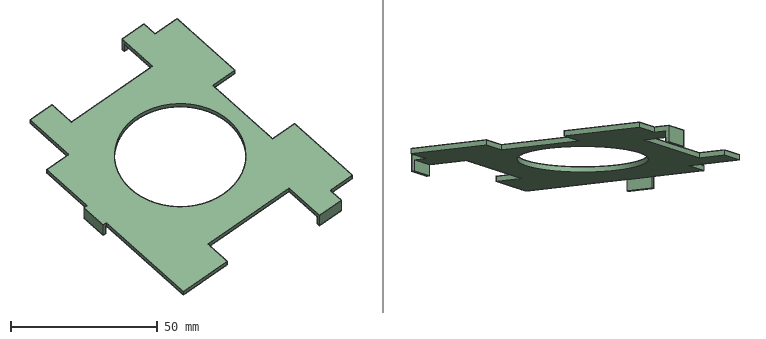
import cadquery as cq

length = 102.5
height = 5.7
plate_thickness = 1.8
leg_thickness = 1.2

half_length = length / 2
body_half_x = 45.5
body_half_y = 38.5
step = 10.0
waist_half_x = body_half_x - step
arm_outer_y = body_half_y - step
arm_inner_y = arm_outer_y - step
top_notch_half_x = 15.5
corner_notch_x = -waist_half_x + step
opening_diameter = 45.0

tab_center_x = 0.5
tab_overhang = 1.4


def plate():
    """Flat plate with its top at Z = 0, stepped outline and round opening."""
    outline = [
        (corner_notch_x, -body_half_y),
        (body_half_x, -body_half_y),
        (body_half_x, -arm_inner_y),
        (waist_half_x, -arm_inner_y),
        (waist_half_x, arm_inner_y),
        (half_length, arm_inner_y),
        (half_length, arm_outer_y),
        (body_half_x, arm_outer_y),
        (body_half_x, body_half_y),
        (top_notch_half_x, body_half_y),
        (top_notch_half_x, arm_outer_y),
        (-top_notch_half_x, arm_outer_y),
        (-top_notch_half_x, body_half_y),
        (-body_half_x, body_half_y),
        (-body_half_x, arm_outer_y),
        (-half_length, arm_outer_y),
        (-half_length, arm_inner_y),
        (-waist_half_x, arm_inner_y),
        (-waist_half_x, -arm_inner_y),
        (-body_half_x, -arm_inner_y),
        (-body_half_x, -arm_outer_y),
        (corner_notch_x, -arm_outer_y),
    ]
    blank = cq.Workplane("XY").polyline(outline).close().extrude(-plate_thickness)
    opening = cq.Workplane("XY").circle(opening_diameter / 2).extrude(-plate_thickness)
    return blank.cut(opening)



def leg(size_x, size_y, center_x, center_y):
    """Leg hanging down from the top plane of the plate."""
    return cq.Workplane("XY").center(center_x, center_y).rect(size_x, size_y).extrude(-height)


result = plate()

for side in (-1, 1):
    leg_x = side * (half_length - leg_thickness / 2)
    result = result.union(leg(leg_thickness, step, leg_x, (arm_inner_y + arm_outer_y) / 2))

tab_tip_y = -body_half_y - tab_overhang
tab = (
    cq.Workplane("XY")
    .center(tab_center_x, -body_half_y - tab_overhang / 2)
    .rect(step, tab_overhang)
    .extrude(-plate_thickness)
)
result = result.union(tab)
result = result.union(leg(step, leg_thickness, tab_center_x, tab_tip_y + leg_thickness / 2))
result = result.clean()